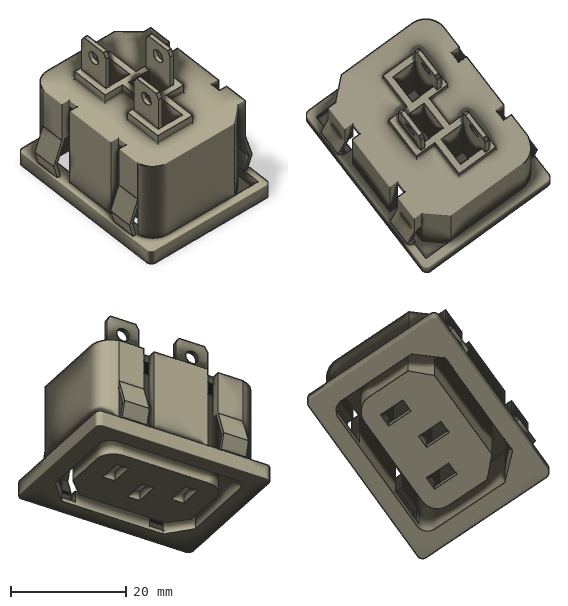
import cadquery as cq

flange_width = 35.15
flange_depth = 27.5
flange_height = 3.0
flange_corner_radius = 1.05
face_thickness = 0.77

shell_width = 31.7
shell_depth = 24.75
shell_top = 19.72
wall = 1.7
top_thickness = 1.45
shell_radius = 4.0
corner_cut_y = 5.4

edge_radius = 0.1

center_panel_width = 10.9
arm_inner_x = 7.52
arm_outer_x = 12.5
arm_root_z = 11.32
knee_z = 6.3
arm_tip_z = 3.3
strip_thickness = 0.7
front_knee_y = 14.25
front_tip_y = 13.45
back_knee_y = 13.9
back_tip_y = 12.75

core_width = 23.98
core_depth = 14.75
core_radius = 3.3

pitch = 6.95
pocket_width = 5.55
pocket_depth = 5.52
pocket_wall = 1.23
middle_pocket_y = 1.58
outer_pocket_y = -2.43
pocket_floor_z = 1.75
contact_slot_width = 2.45

rim_top = 21.6

tab_top = 29.5
tab_width = 6.45
tab_thickness = 0.8
tab_corner_x = 0.65
tab_corner_z = 1.05
tab_hole_diameter = 2.5
tab_hole_drop = 3.02

half_width = shell_width / 2
half_depth = shell_depth / 2
inner_half_depth = half_depth - wall
slot_inner_x = center_panel_width / 2
slot_width = arm_inner_x - slot_inner_x
arm_width = arm_outer_x - arm_inner_x
corner_cut_x = half_width - arm_outer_x

pockets = [
    (-pitch, outer_pocket_y, -1),
    (0, middle_pocket_y, 1),
    (pitch, outer_pocket_y, -1),
]


def box(x, y, z, x_size, y_size, z_size):
    """Box centered on x and y, with its bottom at z."""
    return cq.Workplane("XY").box(x_size, y_size, z_size, centered=(True, True, False)).translate((x, y, z))


def shell_outline():
    """Shell outline with rounded -Y corners and cut-off +Y corners."""
    round_x = half_width - shell_radius
    cut_y = half_depth - corner_cut_y
    return (
        cq.Workplane("XY")
        .moveTo(-round_x, -half_depth)
        .lineTo(round_x, -half_depth)
        .radiusArc((half_width, shell_radius - half_depth), -shell_radius)
        .lineTo(half_width, cut_y)
        .lineTo(arm_outer_x, inner_half_depth)
        .lineTo(arm_outer_x, half_depth)
        .lineTo(-arm_outer_x, half_depth)
        .lineTo(-arm_outer_x, inner_half_depth)
        .lineTo(-half_width, cut_y)
        .lineTo(-half_width, shell_radius - half_depth)
        .radiusArc((-round_x, -half_depth), -shell_radius)
        .close()
    )


def cavity():
    """Space inside the shell walls, open at the bottom and parallel to the shell's corners."""
    x = half_width - wall
    y = inner_half_depth
    radius = shell_radius - wall
    run_x = corner_cut_x
    run_y = corner_cut_y - wall
    slant = (run_x**2 + run_y**2) ** 0.5
    cut_y = half_depth - corner_cut_y + wall * (run_y - slant) / run_x
    cut_x = x - (y - cut_y) * run_x / run_y
    outline = (
        cq.Workplane("XY")
        .moveTo(radius - x, -y)
        .lineTo(x - radius, -y)
        .radiusArc((x, radius - y), -radius)
        .lineTo(x, cut_y)
        .lineTo(cut_x, y)
        .lineTo(-cut_x, y)
        .lineTo(-x, cut_y)
        .lineTo(-x, radius - y)
        .radiusArc((radius - x, -y), -radius)
        .close()
    )
    return outline.extrude(shell_top - top_thickness)


def flange():
    """Rounded bezel, recessed down to the face plate at its two +Y corners."""
    body = box(0, 0, 0, flange_width, flange_depth, flange_height).edges("|Z").fillet(flange_corner_radius)
    body = body.faces("<Z or >Z").edges().fillet(edge_radius)
    recess_width = half_width - arm_inner_x
    for side in (-1, 1):
        body = body.cut(
            box(
                side * (arm_inner_x + recess_width / 2),
                half_depth - corner_cut_y / 2,
                face_thickness,
                recess_width,
                corner_cut_y,
                flange_height,
            )
        )
    return body


def shell():
    """Shell with a slot beside each snap arm and an opening below each arm's root."""
    body = shell_outline().extrude(shell_top)
    slot_x = slot_inner_x + slot_width / 2
    arm_x = arm_inner_x + arm_width / 2
    for end, opening_z in ((-1, flange_height), (1, face_thickness)):
        y = end * (half_depth - wall / 2)
        for side in (-1, 1):
            body = body.cut(box(side * slot_x, y, flange_height, slot_width, wall, shell_top))
            body = body.cut(box(side * arm_x, y, opening_z, arm_width, wall, arm_root_z - opening_z))
            body = body.union(box(side * arm_x, y, arm_root_z, arm_width, wall, shell_top - arm_root_z))
    return body.faces(">Z").edges().fillet(edge_radius)


def snap_strip(side, end, knee_y, tip_y):
    """Bent spring strip hanging from the root of one snap arm."""
    points = [
        (half_depth, arm_root_z),
        (knee_y, knee_z),
        (tip_y, arm_tip_z),
        (tip_y - strip_thickness, arm_tip_z),
        (knee_y - strip_thickness, knee_z),
        (half_depth - strip_thickness, arm_root_z),
    ]
    strip = cq.Workplane("YZ").polyline([(end * y, z) for y, z in points]).close().extrude(arm_width)
    start_x = arm_inner_x if side > 0 else -arm_outer_x
    return strip.translate((start_x, 0, 0))


def core():
    """Plug core with rounded -Y corners and cut-off +Y corners, hanging from the shell's top plate."""
    body = box(0, 0, 0, core_width, core_depth, shell_top)
    body = body.edges("|Z and <Y").fillet(core_radius)
    return body.edges("|Z and >Y").chamfer(core_radius)


def tab(x, y, wall_side):
    """Terminal tab with cut-off top corners and a round hole."""
    tab_x = x + (pocket_width - tab_width) / 2
    tab_y = y + wall_side * (pocket_depth - tab_thickness) / 2
    edge = tab_width / 2
    hole_z = tab_top - tab_hole_drop
    plate = (
        cq.Workplane("XZ")
        .polyline(
            [
                (-edge, pocket_floor_z),
                (edge, pocket_floor_z),
                (edge, tab_top - tab_corner_z),
                (edge - tab_corner_x, tab_top),
                (tab_corner_x - edge, tab_top),
                (-edge, tab_top - tab_corner_z),
            ]
        )
        .close()
        .extrude(tab_thickness / 2, both=True)
    )
    hole = cq.Workplane("XZ").center(0, hole_z).circle(tab_hole_diameter / 2).extrude(tab_thickness, both=True)
    return plate.cut(hole).translate((tab_x, tab_y, 0))


def add_rim(body):
    """Adds the stepped rim around the pockets, with a rounded foot."""
    rim_width = pocket_width + 2 * pocket_wall
    rim_depth = pocket_depth + 2 * pocket_wall
    for x, y, _ in pockets:
        body = body.union(box(x, y, shell_top, rim_width, rim_depth, rim_top - shell_top))
    reach_x = pitch + rim_width / 2 + edge_radius
    reach_y = rim_depth + edge_radius
    foot = cq.selectors.BoxSelector(
        (-reach_x, -reach_y, shell_top - edge_radius),
        (reach_x, reach_y, shell_top + edge_radius),
    )
    return body.edges(foot).fillet(edge_radius)


def housing(tabs):
    """Flange, shell, snap strips, core and rim in one body, with pockets that fit the tabs."""
    body = flange().union(shell()).cut(cavity()).union(core())
    for side in (-1, 1):
        body = body.union(snap_strip(side, -1, front_knee_y, front_tip_y))
        body = body.union(snap_strip(side, 1, back_knee_y, back_tip_y))
    body = add_rim(body)
    for x, y, wall_side in pockets:
        body = body.cut(box(x, y, pocket_floor_z, pocket_width, pocket_depth, rim_top))
        slot_y = y - wall_side * tab_thickness / 2
        slot_depth = pocket_depth - tab_thickness
        body = body.cut(box(x, slot_y, 0, contact_slot_width, slot_depth, rim_top))
    for terminal in tabs:
        body = body.cut(terminal)
    return body


terminals = [tab(x, y, wall_side) for x, y, wall_side in pockets]
inlet_housing = housing(terminals)

result = cq.Compound.makeCompound([inlet_housing.val(), *[terminal.val() for terminal in terminals]])